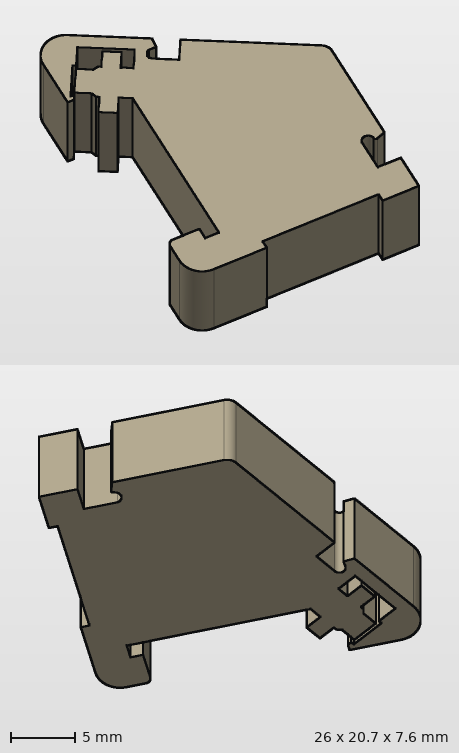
import cadquery as cq
import math

length = 25.98
height = 20.7
thickness = 7.6

large_radius = 2.0
shoulder_radius = 1.0
foot_radius = 0.5

back_recess_x = length - 0.7
back_recess_top = 17.5
back_recess_bottom = 7.35
top_post_x = length - 3.12
notch_floor = height - 2.03
notch_lip_x = 20.05
undercut_start = (20.15, notch_floor)
undercut_deepest = (19.72, notch_floor + 0.52)
undercut_end = (20.15, notch_floor + 1.01)
lip_nose_middle = (20.35, notch_floor + 1.1)
lip_nose_end = (20.35, notch_floor + 1.25)
body_bottom = 4.7
foot_bottom = 0.7
foot_tip_x = 21.93
foot_ledge = 3.5
foot_slot_x = 22.95

slope = math.radians(60)
slope_face = -large_radius
slope_notch_top = 8.83
slope_notch_floor = -0.03
slope_notch_end = 6.8

lip_x = 4.47
lip_top = 8.65
lip_root = 8.0
lip_peak_along = 6.62
groove_bottom = (4.94, 7.65)

plunger_axis = 2.47
arm_half_width = 3.0
neck_half_width = 1.48
stem_half_width = 1.17
stem_end = 0.83
stem_taper_start = 2.18
stem_taper_end = 2.55
arm_bottom = 2.8
arm_top = 4.3

pocket_roof = 5.33
pocket_floor = 0.83
pocket_wall = -0.83
slot_floor = 0.55
slot_start = 0.95
slot_end = 3.97
hook_tip_x = 6.18


def tilted(along, inward):
    """Convert a position in the tilted frame to X, Y."""
    x = large_radius + along * math.cos(slope) + inward * math.sin(slope)
    y = large_radius + along * math.sin(slope) - inward * math.cos(slope)
    return (x, y)


def inward_at_x(along, x):
    """Inward distance at which a line square to the slope reaches x."""
    return (x - large_radius - along * math.cos(slope)) / math.sin(slope)


def along_at_y(inward, y):
    """Distance along the slope at which a line parallel to it reaches y."""
    return (y - large_radius + inward * math.cos(slope)) / math.sin(slope)


shoulder = tilted(along_at_y(slope_face, height), slope_face)


def plunger_side(side):
    """One side of the plunger, from stem end to neck; side is -1 (outer) or 1 (inner)."""
    profile = [
        (stem_end, stem_half_width),
        (stem_taper_start, stem_half_width),
        (stem_taper_end, neck_half_width),
        (arm_bottom, neck_half_width),
        (arm_bottom, arm_half_width),
        (arm_top, arm_half_width),
        (arm_top, neck_half_width),
    ]
    return [tilted(along, plunger_axis + side * half) for along, half in profile]


def add_lines(outline, points):
    for point in points:
        outline = outline.lineTo(*point)
    return outline


def add_top_and_slope(outline):
    """Top notch with its rounded undercut, then the slope down to the lower-left rounding."""
    outline = add_lines(outline, [
        (length, height),
        (top_post_x, height),
        (top_post_x, notch_floor),
        undercut_start,
    ])
    outline = outline.threePointArc(undercut_deepest, undercut_end)
    outline = outline.threePointArc(lip_nose_middle, lip_nose_end)
    outline = add_lines(outline, [
        (notch_lip_x, height),
        shoulder,
        tilted(slope_notch_top, slope_face),
        tilted(slope_notch_top, slope_notch_floor),
        tilted(slope_notch_end, slope_notch_floor),
    ])
    outline = outline.threePointArc(groove_bottom, (lip_x, lip_root))
    return add_lines(outline, [
        (lip_x, lip_top),
        tilted(lip_peak_along, slope_face),
        tilted(0, slope_face),
    ])


def add_hook_and_plunger(outline):
    """Rounded hook, the pocket inside it, and the plunger standing in the pocket."""
    diagonal = large_radius * (1 - math.sqrt(0.5))
    outline = outline.threePointArc((diagonal, diagonal), (large_radius, 0))
    outline = add_lines(outline, [
        (hook_tip_x, 0),
        tilted(pocket_floor, inward_at_x(pocket_floor, hook_tip_x)),
        tilted(pocket_floor, slot_end),
        tilted(slot_floor, slot_end),
        tilted(slot_floor, slot_start),
        tilted(pocket_floor, slot_start),
        tilted(pocket_floor, pocket_wall),
        tilted(pocket_roof, pocket_wall),
        tilted(pocket_roof, plunger_axis - neck_half_width),
    ])
    outline = add_lines(outline, reversed(plunger_side(-1)))
    outline = add_lines(outline, plunger_side(1))
    neck_inner = plunger_axis + neck_half_width
    return outline.lineTo(*tilted(along_at_y(neck_inner, body_bottom), neck_inner))


def add_foot(outline):
    """Hooked foot at the lower right, closing up to the recessed back face."""
    return add_lines(outline, [
        (foot_slot_x, body_bottom),
        (foot_slot_x, foot_ledge),
        (foot_tip_x, foot_ledge),
        (foot_tip_x, foot_bottom),
        (length, foot_bottom),
        (length, back_recess_bottom),
        (back_recess_x, back_recess_bottom),
        (back_recess_x, back_recess_top),
    ])


def round_edge(solid, corner, radius):
    """Fillet the upright edge standing at the given X, Y corner."""
    nearest = cq.selectors.NearestToPointSelector((corner[0], corner[1], thickness / 2))
    return solid.edges("|Z").edges(nearest).fillet(radius)


outline = cq.Workplane("XY").moveTo(back_recess_x, back_recess_top).lineTo(length, back_recess_top)
outline = add_top_and_slope(outline)
outline = add_hook_and_plunger(outline)
outline = add_foot(outline)
result = outline.close().extrude(thickness)

result = round_edge(result, shoulder, shoulder_radius)
result = round_edge(result, (length, foot_bottom), large_radius)
result = round_edge(result, (foot_tip_x, foot_bottom), foot_radius)